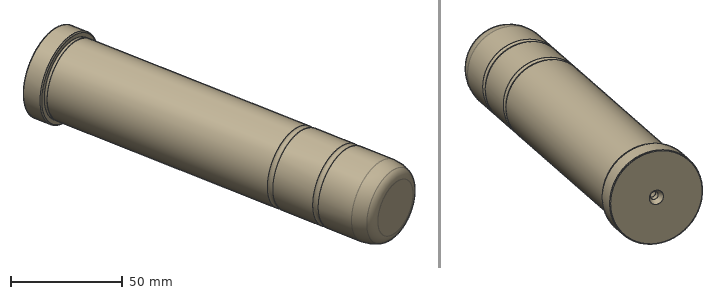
import cadquery as cq
import math

length = 190.0
head_radius = 45.0 / 2
head_length = 10.0
head_front_chamfer = 0.4
head_back_chamfer = 0.5
shaft_radius = 39.9 / 2

groove_centers = (134.9, 160.0)
groove_width = 3.0
groove_depth = 0.8
relief_width = 1.5
relief_depth = 0.5

nose_start = 180.0
tip_start = 187.2
nose_drop = 1.7

center_mouth_radius = 3.5
center_bore_radius = 1.9
center_sink_depth = (center_mouth_radius - center_bore_radius) / math.tan(math.radians(30))
center_bore_depth = 5.7
drill_point_depth = center_bore_radius / math.tan(math.radians(59))


def add_groove(profile, start, width, depth):
    """Continue a profile with a round-bottomed groove in the shaft."""
    return profile.lineTo(start, shaft_radius).threePointArc(
        (start + width / 2, shaft_radius - depth),
        (start + width, shaft_radius),
    )


def add_nose(profile):
    """Continue a profile with the nose arc and a tip meeting the end face tangentially."""
    tip_shoulder_radius = shaft_radius - nose_drop
    shoulder_angle = 2 * math.atan(nose_drop / (tip_start - nose_start))
    tip_radius = (length - tip_start) / (1 - math.sin(shoulder_angle))
    end_face_radius = tip_shoulder_radius - tip_radius * math.cos(shoulder_angle)
    return (
        profile.lineTo(nose_start, shaft_radius)
        .tangentArcPoint((tip_start, tip_shoulder_radius), relative=False)
        .tangentArcPoint((length, end_face_radius), relative=False)
    )


def revolve_about_axis(profile):
    """Turn a closed half profile around the pin axis."""
    return profile.close().revolve(360, (0, 0, 0), (1, 0, 0))


def make_body():
    """Head, grooved shaft and nose as one turned solid."""
    profile = (
        cq.Workplane("XY")
        .lineTo(0, head_radius - head_front_chamfer)
        .lineTo(head_front_chamfer, head_radius)
        .lineTo(head_length - head_back_chamfer, head_radius)
        .lineTo(head_length, head_radius - head_back_chamfer)
    )
    profile = add_groove(profile, head_length, relief_width, relief_depth)
    for center in groove_centers:
        profile = add_groove(profile, center - groove_width / 2, groove_width, groove_depth)
    profile = add_nose(profile).lineTo(length, 0)
    return revolve_about_axis(profile)


def make_center_hole():
    """Cutter for the countersunk blind hole on the pin axis."""
    profile = (
        cq.Workplane("XY")
        .lineTo(0, center_mouth_radius)
        .lineTo(center_sink_depth, center_bore_radius)
        .lineTo(center_bore_depth, center_bore_radius)
        .lineTo(center_bore_depth + drill_point_depth, 0)
    )
    return revolve_about_axis(profile)


result = make_body().cut(make_center_hole())